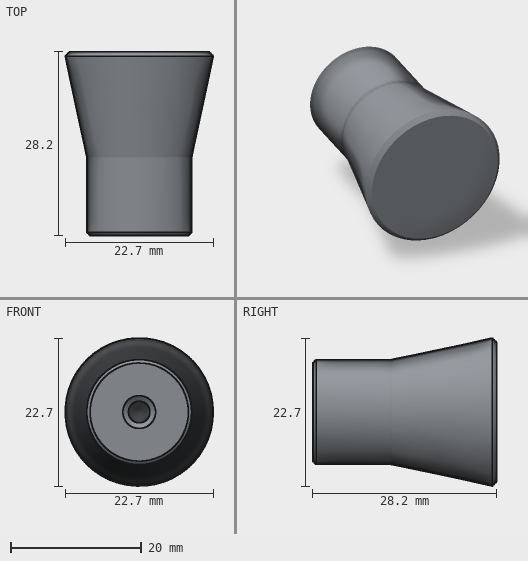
import cadquery as cq
import math

length = 28.2
head_diameter = 22.7
stem_diameter = 16.07
stem_length = 12.0
head_chamfer = 0.7
stem_chamfer = 0.5

hole_diameter = 3.3
hole_depth = 12.0
countersink_diameter = 5.02
countersink_angle = 90.0
drill_point_angle = 118.0

head_radius = head_diameter / 2
stem_radius = stem_diameter / 2
hole_radius = hole_diameter / 2
countersink_radius = countersink_diameter / 2


def cone_height(radius_change, included_angle):
    """Axial length over which a cone changes radius by the given amount."""
    return radius_change / math.tan(math.radians(included_angle / 2))


def revolve_about_y(outline):
    """Turn a closed (radius, position) outline around the Y axis."""
    profile = cq.Workplane("XY").polyline(outline).close()
    return profile.revolve(360, (0, 0, 0), (0, 1, 0))


def make_body():
    """Cylindrical stem flaring into a conical head, with both rims chamfered."""
    return revolve_about_y([
        (0, 0),
        (stem_radius - stem_chamfer, 0),
        (stem_radius, stem_chamfer),
        (stem_radius, stem_length),
        (head_radius, length - head_chamfer),
        (head_radius - head_chamfer, length),
        (0, length),
    ])


def make_hole():
    """Countersunk hole ending in a conical drill point."""
    countersink_depth = cone_height(countersink_radius - hole_radius, countersink_angle)
    point_depth = cone_height(hole_radius, drill_point_angle)
    return revolve_about_y([
        (0, 0),
        (countersink_radius, 0),
        (hole_radius, countersink_depth),
        (hole_radius, hole_depth),
        (0, hole_depth + point_depth),
    ])


result = make_body().cut(make_hole())